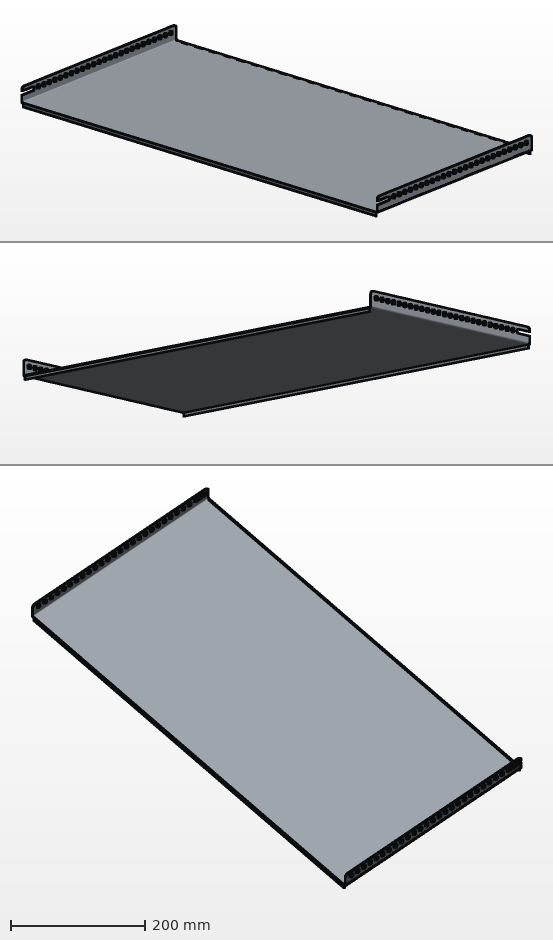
import cadquery as cq

length = 706.0
depth = 350.0
height = 32.0

sheet = 1.5
bend_outer = 2 * sheet
bend_inner = bend_outer - sheet
panel_top = 7.0
lip_drop = panel_top - sheet
panel_length = length - 2 * bend_outer

corner_radius = 6.0
hole_diameter = 6.5
pitch_spaces = 28
hole_pitch = depth / pitch_spaces
hole_count = 25
hole_edge_gap = 6.85

flange_height = height - lip_drop
hole_z = height - hole_edge_gap - hole_diameter / 2
rear_y = depth / 2
slot_end_y = rear_y - (hole_count + 1) * hole_pitch
cut_overrun = 7.0
cut_width = length + 2 * cut_overrun


def box(size_x, size_y, size_z, center_y, bottom_z):
    """Box centred on X, standing on bottom_z."""
    return (
        cq.Workplane("XY")
        .box(size_x, size_y, size_z, centered=(True, True, False))
        .translate((0, center_y, bottom_z))
    )


def side_flanges():
    """Both upright side flanges with the bends that lead to the panel."""
    outside = (
        box(length, depth, flange_height, 0, lip_drop)
        .edges("|Y and <Z")
        .fillet(bend_outer)
    )
    inside = (
        box(length - 2 * sheet, depth, flange_height, 0, lip_drop + sheet)
        .edges("|Y and <Z")
        .fillet(bend_inner)
    )
    panel_gap = box(panel_length, depth, sheet, 0, lip_drop)
    return outside.cut(inside).cut(panel_gap).edges("|X and >Z").fillet(corner_radius)


def panel_with_lips():
    """Flat panel with the front and rear lips folded down along sharp edges."""
    outside = box(panel_length, depth, panel_top, 0, 0)
    inside = box(panel_length, depth - 2 * sheet, lip_drop, 0, 0)
    return outside.cut(inside)


def hole_row():
    """Evenly spaced round holes through both side flanges."""
    centers = [(rear_y - (i + 1) * hole_pitch, hole_z) for i in range(hole_count)]
    return (
        cq.Workplane("YZ")
        .pushPoints(centers)
        .circle(hole_diameter / 2)
        .extrude(cut_width / 2, both=True)
    )


def front_slot():
    """Slot with a round end, open at the front edge of both flanges."""
    slot_length = slot_end_y + rear_y
    straight = box(
        cut_width, slot_length, hole_diameter,
        slot_end_y - slot_length / 2, hole_z - hole_diameter / 2,
    )
    round_end = (
        cq.Workplane("YZ")
        .center(slot_end_y, hole_z)
        .circle(hole_diameter / 2)
        .extrude(cut_width / 2, both=True)
    )
    return straight.union(round_end)


result = side_flanges().union(panel_with_lips()).cut(hole_row()).cut(front_slot())